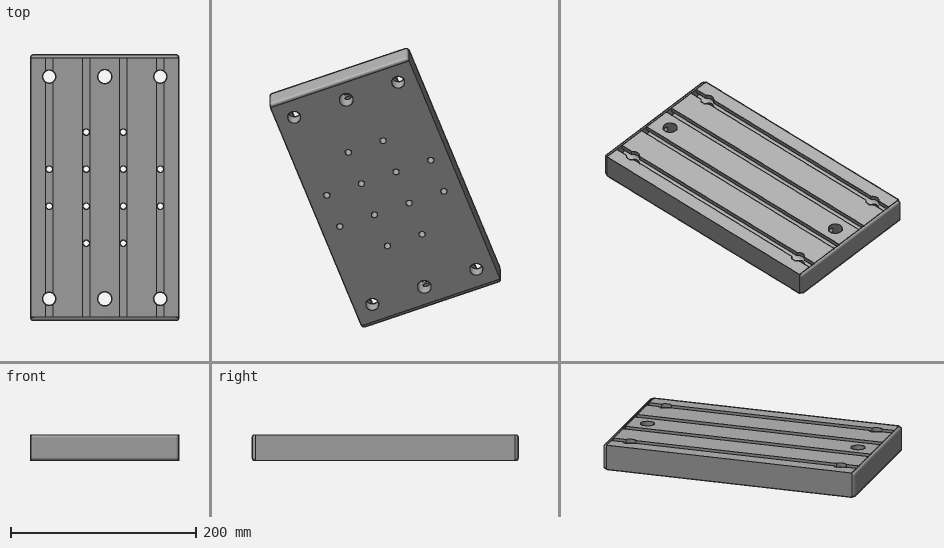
import cadquery as cq
import math

WIDTH = 160.0
HEIGHT = 28.0
OVERALL_LENGTH = 287.4
CAP_THICKNESS = 3.8
CAP_FILLET = 3.0
CAP_SEAT_DEPTH = 0.1
PLATE_LENGTH = OVERALL_LENGTH - 2 * (CAP_THICKNESS - CAP_SEAT_DEPTH)

SIDES = (-1, 1)

SLOT_PITCH = 40.0
INNER_SLOT_X = SLOT_PITCH / 2
OUTER_SLOT_X = INNER_SLOT_X + SLOT_PITCH
SLOT_OPENING = 8.2
LIP_DEPTH = 4.5
UNDERCUT_RADIUS = 7.6
INNER_FLOOR_WIDTH = 4.8
OUTER_FLOOR_WIDTH = 6.0

BORE_DIAMETER = 7.6
BORE_DEPTH = 8.3

HOLE_PITCH = 40.0
SMALL_HOLE_DIAMETER = 6.8
OUTER_HOLE_DIAMETER = 14.0
CENTRE_HOLE_DIAMETER = 15.0
END_HOLE_Y = 3 * HOLE_PITCH
INNER_HOLES_Y = [step * HOLE_PITCH for step in (-1.5, -0.5, 0.5, 1.5)]
OUTER_HOLES_Y = [step * HOLE_PITCH for step in (-0.5, 0.5)]


def extrude_along_plate(section):
    """Extrude an XZ section over the full plate length, centred on Y."""
    return section.extrude(PLATE_LENGTH / 2, both=True)


def t_slot(centre_x, floor_width):
    """T-slot cutter: straight lip, then an undercut with quarter-round sides and a flat floor."""
    lip_x = SLOT_OPENING / 2
    floor_x = floor_width / 2
    undercut_x = floor_x + UNDERCUT_RADIUS
    slot_depth = LIP_DEPTH + UNDERCUT_RADIUS
    arc_offset = UNDERCUT_RADIUS * math.sqrt(0.5)
    arc_x = floor_x + arc_offset
    arc_z = -LIP_DEPTH - arc_offset
    section = (
        cq.Workplane("XZ")
        .moveTo(-lip_x, 0)
        .lineTo(lip_x, 0)
        .lineTo(lip_x, -LIP_DEPTH)
        .lineTo(undercut_x, -LIP_DEPTH)
        .threePointArc((arc_x, arc_z), (floor_x, -slot_depth))
        .lineTo(-floor_x, -slot_depth)
        .threePointArc((-arc_x, arc_z), (-undercut_x, -LIP_DEPTH))
        .lineTo(-lip_x, -LIP_DEPTH)
        .close()
    )
    return extrude_along_plate(section).translate((centre_x, 0, 0))


def core_bore():
    """Round bore cutter on the plate's centre line, running the whole length."""
    section = cq.Workplane("XZ").center(0, -BORE_DEPTH).circle(BORE_DIAMETER / 2)
    return extrude_along_plate(section)


def through_holes(points, diameter):
    """Vertical hole cutters through the full height."""
    return cq.Workplane("XY").pushPoints(points).circle(diameter / 2).extrude(-HEIGHT)


def make_plate():
    """Slotted and drilled base plate."""
    plate = cq.Workplane("XY").box(WIDTH, PLATE_LENGTH, HEIGHT).translate((0, 0, -HEIGHT / 2))
    plate = plate.cut(core_bore())
    for side in SIDES:
        plate = plate.cut(t_slot(side * INNER_SLOT_X, INNER_FLOOR_WIDTH))
        plate = plate.cut(t_slot(side * OUTER_SLOT_X, OUTER_FLOOR_WIDTH))

    small_holes = [(side * INNER_SLOT_X, y) for side in SIDES for y in INNER_HOLES_Y]
    small_holes += [(side * OUTER_SLOT_X, y) for side in SIDES for y in OUTER_HOLES_Y]
    outer_holes = [(side * OUTER_SLOT_X, end * END_HOLE_Y) for side in SIDES for end in SIDES]
    centre_holes = [(0, end * END_HOLE_Y) for end in SIDES]
    plate = plate.cut(through_holes(small_holes, SMALL_HOLE_DIAMETER))
    plate = plate.cut(through_holes(outer_holes, OUTER_HOLE_DIAMETER))
    return plate.cut(through_holes(centre_holes, CENTRE_HOLE_DIAMETER))


def make_end_cap(end):
    """Flat cap closing one end (-1 or +1) of the plate, with rounded corners and outer rim."""
    outer_face = "<Y" if end < 0 else ">Y"
    cap = cq.Workplane("XY").box(WIDTH, CAP_THICKNESS, HEIGHT)
    cap = cap.edges("|Y").fillet(CAP_FILLET)
    cap = cap.faces(outer_face).edges().fillet(CAP_FILLET)
    centre_y = end * (OVERALL_LENGTH - CAP_THICKNESS) / 2
    return cap.translate((0, centre_y, -HEIGHT / 2))


end_caps = [make_end_cap(end) for end in SIDES]

plate = make_plate()
for cap in end_caps:
    plate = plate.cut(cap)

result = cq.Compound.makeCompound([plate.val(), *[cap.val() for cap in end_caps]])